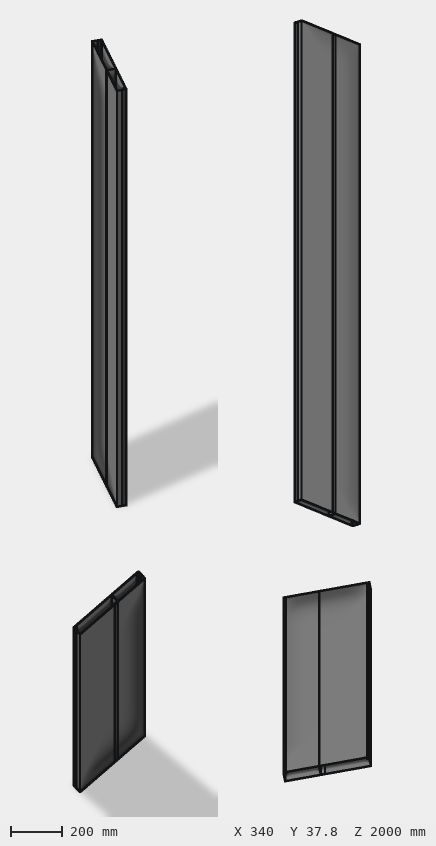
import cadquery as cq

WIDTH = 340.0
DEPTH = 37.75
HEIGHT = 2000.0
SHEET = 1.1

CHANNEL_REACH = 10.5
LEG_LENGTH = 15.9
LIP_LENGTH = 7.4

RIB_X = 28.2
FOOT_WIDTH = 15.2

FRONT = -DEPTH / 2
BACK = DEPTH / 2
SIDE = WIDTH / 2
FRONT_INSIDE = FRONT + SHEET
COVER_INSIDE = BACK - SHEET


def strip(x_start, x_end, y_start, y_end):
    """Full-height sheet strip that fills the given X and Y range."""
    return (
        cq.Workplane("XY")
        .workplane(offset=-HEIGHT / 2)
        .center((x_start + x_end) / 2, (y_start + y_end) / 2)
        .rect(x_end - x_start, y_end - y_start)
        .extrude(HEIGHT)
    )


def add_to_both_sides(body, left_strip):
    """Join a strip and its mirror image about the YZ plane to the body."""
    return body.union(left_strip).union(left_strip.mirror("YZ"))


def make_tray():
    """Front sheet with a plain wall along each long edge."""
    front_sheet = strip(-SIDE, SIDE, FRONT, FRONT_INSIDE)
    wall = strip(-SIDE, -SIDE + SHEET, FRONT, COVER_INSIDE)
    return add_to_both_sides(front_sheet, wall).clean()


def add_edge_channels(cover):
    """Leg, doubled base and inner lip along each long edge, just inside the tray walls."""
    outer_x = -SIDE + SHEET
    inner_x = -SIDE + CHANNEL_REACH
    leg = strip(outer_x, outer_x + SHEET, BACK - LEG_LENGTH, BACK)
    base = strip(outer_x, inner_x, COVER_INSIDE - SHEET, BACK)
    lip = strip(inner_x - SHEET, inner_x, BACK - LIP_LENGTH, BACK)
    for channel_part in (leg, base, lip):
        cover = add_to_both_sides(cover, channel_part)
    return cover


def add_stiffener(cover):
    """L-shaped rib that stands off the cover and rests its foot on the front sheet."""
    rib = strip(RIB_X, RIB_X + SHEET, FRONT_INSIDE, COVER_INSIDE)
    foot = strip(RIB_X - FOOT_WIDTH, RIB_X + SHEET, FRONT_INSIDE, FRONT_INSIDE + SHEET)
    return cover.union(rib).union(foot)


def make_cover():
    """Back sheet that closes the tray, with its edge channels and stiffener."""
    back_sheet = strip(-SIDE, SIDE, COVER_INSIDE, BACK)
    return add_stiffener(add_edge_channels(back_sheet)).clean()


tray = make_tray()
cover = make_cover()

result = cq.Compound.makeCompound([tray.val(), cover.val()])